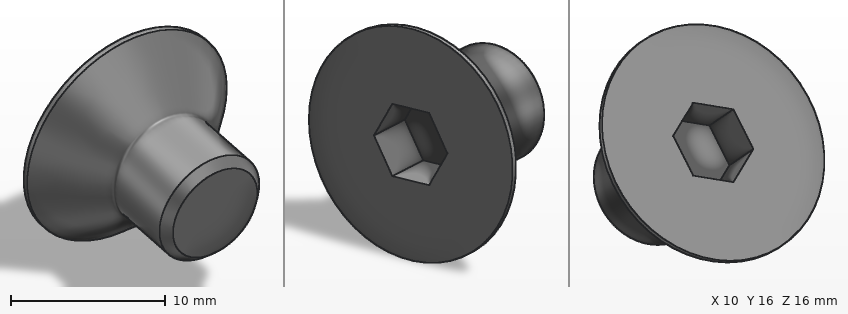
import cadquery as cq
import math

length = 10.0
head_diameter = 16.0
shank_diameter = 8.0
rim_thickness = 0.4
neck_fillet = 0.4
tip_chamfer = 0.62
socket_across_flats = 5.0
socket_depth = 3.5

head_radius = head_diameter / 2
shank_radius = shank_diameter / 2
neck_x = rim_thickness + head_radius - shank_radius

neck_tangent = neck_fillet * math.tan(math.radians(22.5))
fillet_start = (
    neck_x - neck_tangent * math.cos(math.radians(45)),
    shank_radius + neck_tangent * math.sin(math.radians(45)),
)
fillet_end = (neck_x + neck_tangent, shank_radius)
fillet_middle = (
    fillet_end[0] - neck_fillet * math.sin(math.radians(22.5)),
    shank_radius + neck_fillet * (1 - math.cos(math.radians(22.5))),
)

body = (
    cq.Workplane("XY")
    .lineTo(0, head_radius)
    .lineTo(rim_thickness, head_radius)
    .lineTo(*fillet_start)
    .threePointArc(fillet_middle, fillet_end)
    .lineTo(length - tip_chamfer, shank_radius)
    .lineTo(length, shank_radius - tip_chamfer)
    .lineTo(length, 0)
    .close()
    .revolve(360, (0, 0, 0), (1, 0, 0))
)

socket_across_corners = socket_across_flats / math.cos(math.radians(30))
socket = cq.Workplane("YZ").polygon(6, socket_across_corners).extrude(socket_depth)

result = body.cut(socket)